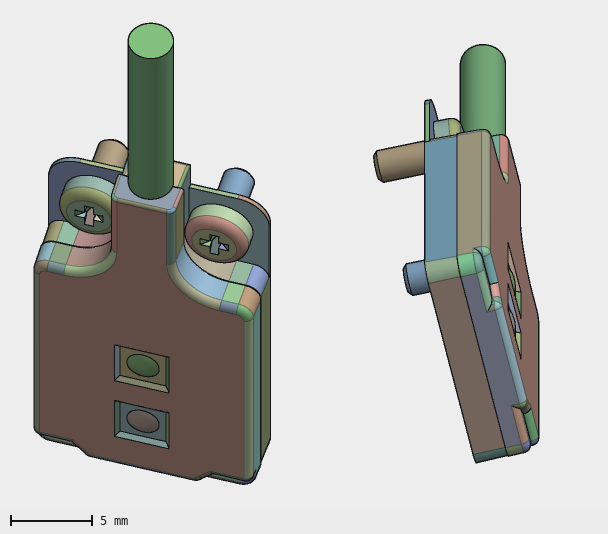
import cadquery as cq
import math

total_height = 39.83
width = 14.1
front_depth = 2.0
rear_depth = 2.05
body_height = 18.05
corner_radius = 1.0
front_edge_radius = 0.48
draft_angle = 1.7

front_neck_half_width = 2.1
rear_neck_half_width = 1.95
blend_start_x = 4.98
neck_top = 26.1
neck_top_radius = 0.2
cable_diameter = 2.8

plate_thickness = 0.3
plate_top = 24.1
plate_corner_radius = 2.0

screw_spacing = 8.0
screw_z = 21.07
shank_diameter = 2.0
shank_projection = 3.75
tip_chamfer = 0.25
head_diameter = 4.05
head_height = 1.55
head_edge_radius = 0.6
cross_span = 1.8
cross_width = 0.55
cross_depth = 0.8

window_centers_z = (10.08, 4.62)
window_size = 3.5
window_floor_size = 2.95
window_depth = 0.28
dome_diameter = 2.07
dome_height = 0.28

notch_depth = 0.5
notch_height = 1.1
notch_bottom_x = 3.45

half_width = width / 2
shoulder_corner_z = body_height - corner_radius
notch_floor_y = notch_depth - front_depth
plate_front_y = rear_depth - plate_thickness
head_front_y = plate_front_y - head_height
screw_positions = (-screw_spacing / 2, screw_spacing / 2)


def front_plane(y):
    """Workplane parallel to the front face, with positive extrusion toward the front (-Y)."""
    return cq.Workplane(cq.Plane(origin=(0, y, 0), xDir=(1, 0, 0), normal=(0, -1, 0)))


def half_outline(y, neck_half_width):
    """Closed outline of one housing half on the plane at y."""
    blend_radius = blend_start_x - neck_half_width
    blend_z = body_height + blend_radius
    mid_x = blend_start_x - blend_radius * math.sqrt(0.5)
    mid_z = blend_z - blend_radius * math.sqrt(0.5)
    return (
        front_plane(y)
        .moveTo(half_width - corner_radius, 0)
        .radiusArc((half_width, corner_radius), -corner_radius)
        .lineTo(half_width, shoulder_corner_z)
        .radiusArc((half_width - corner_radius, body_height), -corner_radius)
        .lineTo(blend_start_x, body_height)
        .threePointArc((mid_x, mid_z), (neck_half_width, blend_z))
        .lineTo(neck_half_width, neck_top)
        .lineTo(-neck_half_width, neck_top)
        .lineTo(-neck_half_width, blend_z)
        .threePointArc((-mid_x, mid_z), (-blend_start_x, body_height))
        .lineTo(-half_width + corner_radius, body_height)
        .radiusArc((-half_width, shoulder_corner_z), -corner_radius)
        .lineTo(-half_width, corner_radius)
        .radiusArc((-half_width + corner_radius, 0), -corner_radius)
        .close()
    )


def front_layer(depth):
    """Drafted layer from the seam forward, with its front rim rounded except across the neck top."""
    layer = half_outline(0, front_neck_half_width).extrude(depth, taper=draft_angle)
    rim = layer.faces("<Y").edges().filter(lambda edge: edge.Center().z < neck_top - neck_top_radius)
    return rim.fillet(front_edge_radius)


def notch_cutter(side):
    """Prism that takes away one bottom corner through the whole front half; side is -1 or 1."""
    return (
        front_plane(0)
        .moveTo(side * (notch_bottom_x - notch_height), -notch_height)
        .lineTo(side * (notch_bottom_x + notch_height), notch_height)
        .lineTo(side * width, notch_height)
        .lineTo(side * width, -notch_height)
        .close()
        .extrude(front_depth)
    )


def notched_layer():
    """Full-depth front layer without its two bottom corners, with the rims of the cuts rounded."""
    layer = front_layer(front_depth)
    for side in (-1, 1):
        layer = layer.cut(notch_cutter(side))
    rim_top = notch_height + front_edge_radius
    lower_front = cq.selectors.BoxSelector((-width, -width, 0), (width, notch_floor_y, rim_top))
    notch_rims = layer.edges(lower_front).filter(lambda edge: abs(edge.Center().x) > notch_bottom_x)
    return notch_rims.fillet(front_edge_radius)


def neck_end_edges(half):
    """Edges around the top face of the neck."""
    return half.faces(cq.selectors.NearestToPointSelector((0, half.val().Center().y, neck_top))).edges()


def front_half():
    half = notched_layer().union(front_layer(-notch_floor_y))
    return neck_end_edges(half).edges("not(>Y)").fillet(neck_top_radius)


def rear_half():
    """The rear half narrows from the rear face toward the seam."""
    half = half_outline(rear_depth, rear_neck_half_width).extrude(rear_depth, taper=draft_angle)
    return neck_end_edges(half).edges("not(<Y)").fillet(neck_top_radius)


def plate():
    """Plate across the shoulders, flush with the rear face."""
    plate_height = plate_top - shoulder_corner_z
    blank = (
        front_plane(rear_depth)
        .center(0, shoulder_corner_z + plate_height / 2)
        .rect(width, plate_height)
        .extrude(plate_thickness)
    )
    return blank.edges("|Y and >Z").fillet(plate_corner_radius)


def cable():
    cable_start = cq.Workplane("XY", origin=(0, 0, body_height))
    return cable_start.circle(cable_diameter / 2).extrude(total_height - body_height)


def window(center_z):
    return (
        front_plane(-front_depth)
        .center(0, center_z)
        .rect(window_size, window_size)
        .workplane(offset=-window_depth)
        .rect(window_floor_size, window_floor_size)
        .loft(ruled=True)
    )


def dome(center_z):
    floor_y = -front_depth + window_depth
    ball_radius = ((dome_diameter / 2) ** 2 + dome_height**2) / (2 * dome_height)
    ball = cq.Workplane("XY", origin=(0, floor_y - dome_height + ball_radius, center_z)).sphere(ball_radius)
    ball_front = front_plane(floor_y).center(0, center_z).circle(dome_diameter).extrude(dome_diameter)
    return ball.intersect(ball_front)


def screw_blank(x):
    head = front_plane(plate_front_y).center(x, screw_z).circle(head_diameter / 2).extrude(head_height)
    head = head.faces("<Y").edges().fillet(head_edge_radius)
    shank = (
        front_plane(rear_depth + shank_projection)
        .center(x, screw_z)
        .circle(shank_diameter / 2)
        .extrude(shank_projection + plate_thickness)
    )
    return head.union(shank.faces(">Y").edges().chamfer(tip_chamfer))


def cross_recess(x):
    """Cross-shaped driver recess whose floors slope down to one point on the screw axis."""
    wedge = (
        cq.Workplane("XY")
        .polyline([(-cross_span / 2, 0), (cross_span / 2, 0), (0, cross_depth)])
        .close()
        .extrude(cross_span / 2, both=True)
    )
    pyramid = wedge.intersect(wedge.rotate((0, 0, 0), (0, 1, 0), 90))
    across = front_plane(0).rect(cross_span, cross_width).extrude(-cross_depth)
    upright = front_plane(0).rect(cross_width, cross_span).extrude(-cross_depth)
    return across.union(upright).intersect(pyramid).translate((x, head_front_y, screw_z))


def make_housing():
    body = front_half().union(rear_half()).union(plate()).union(cable())
    for center_z in window_centers_z:
        body = body.cut(window(center_z)).union(dome(center_z))
    for x in screw_positions:
        body = body.cut(screw_blank(x))
    return body


def make_screw(x):
    return screw_blank(x).cut(cross_recess(x))


housing = make_housing()
screws = [make_screw(x) for x in screw_positions]
result = cq.Compound.makeCompound([housing.val(), *[screw.val() for screw in screws]])